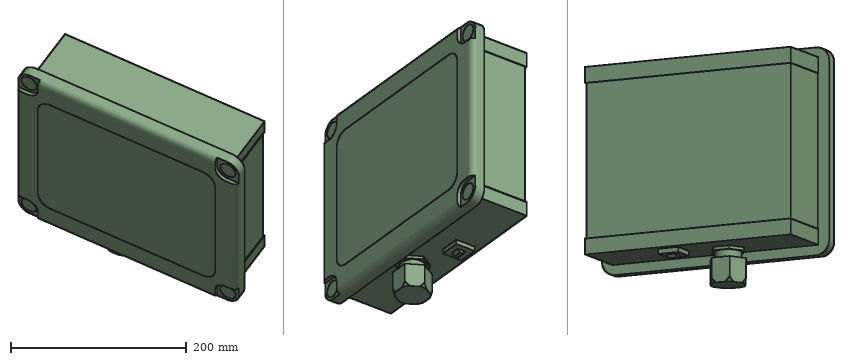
import cadquery as cq
import math


LID_WIDTH = 291
LID_HEIGHT = 241.8
LID_THICKNESS = 17.5
LID_CORNER_RADIUS = 17.0
LID_EDGE_RADIUS = 7.0

SCREW_INSET = 14.5
POCKET_RADIUS = 14.3
POCKET_DEPTH = 4.7
SCREW_RADIUS = 10.2

PANEL_WIDTH = 233.5
PANEL_HEIGHT = 181.0
PANEL_CORNER_RADIUS = 17.0
FACE_RECESS = 0.15

BOX_WIDTH = 263.0
BOX_HEIGHT = 218.2
BOX_BACK = 87.5
BAND_HEIGHT = 18.5
WAIST_BACK_STEP = 2.0
WAIST_SIDE_STEP = 1.0

GLAND_X = -29.5
GLAND_Y = 43.6
GLAND_TURN = 1
FLANGE_FLATS = 35
FLANGE_HEIGHT = 3.8
NECK_DIAMETER = 31.0
NUT_FLATS = 39.3
NUT_TOP_DROP = 12.8
OVERALL_HEIGHT = 272.0
NUT_CHAMFER_RISE = 5.8
NUT_END_DIAMETER = 41.0

FOOT_X = -GLAND_X
FOOT_Y = 66.0
FOOT_SIZE = 26.0
FOOT_HEIGHT = 5.8
RIDGE_TOP_LENGTH = 11.0
RIDGE_END_LENGTH = 5.0
RIDGE_HEIGHT = 3.8
RIDGE_WIDTH = 11.0

BOX_DEPTH = BOX_BACK - LID_THICKNESS
BOX_BOTTOM = -BOX_HEIGHT / 2
NUT_BOTTOM = LID_HEIGHT / 2 - OVERALL_HEIGHT


def block(width, height, y_front, depth):
    """Box centred on X and Z, running back from y_front."""
    return cq.Workplane("XY").box(width, depth, height).translate((0, y_front + depth / 2, 0))


def corner_points():
    """Screw centres as (x, z)."""
    x = LID_WIDTH / 2 - SCREW_INSET
    z = LID_HEIGHT / 2 - SCREW_INSET
    return [(sx * x, sz * z) for sx in (-1, 1) for sz in (-1, 1)]


def disc(x, z, radius, y_front, depth):
    return cq.Workplane("XZ", origin=(x, y_front, z)).circle(radius).extrude(-depth)


def corner_pocket(x, z):
    """Pocket around a screw, open to both lid sides at its corner."""
    reach = 2 * SCREW_INSET
    x_arm = block(reach, 2 * POCKET_RADIUS, 0, POCKET_DEPTH)
    z_arm = block(2 * POCKET_RADIUS, reach, 0, POCKET_DEPTH)
    x_arm = x_arm.translate((x + math.copysign(reach / 2, x), 0, z))
    z_arm = z_arm.translate((x, 0, z + math.copysign(reach / 2, z)))
    return disc(x, z, POCKET_RADIUS, 0, POCKET_DEPTH).union(x_arm).union(z_arm)


def make_lid():
    slab = block(LID_WIDTH, LID_HEIGHT, 0, LID_THICKNESS).faces("<Y").edges().fillet(LID_EDGE_RADIUS)
    outline = block(LID_WIDTH, LID_HEIGHT, 0, LID_THICKNESS).edges("|Y").fillet(LID_CORNER_RADIUS)
    lid = slab.intersect(outline)
    for x, z in corner_points():
        lid = lid.cut(corner_pocket(x, z))
        lid = lid.cut(disc(x, z, SCREW_RADIUS, POCKET_DEPTH, FACE_RECESS))
    panel = block(PANEL_WIDTH, PANEL_HEIGHT, 0, FACE_RECESS).edges("|Y").fillet(PANEL_CORNER_RADIUS)
    return lid.cut(panel)


def make_box():
    waist_width = BOX_WIDTH - 2 * WAIST_SIDE_STEP
    box = block(waist_width, BOX_HEIGHT, LID_THICKNESS, BOX_DEPTH - WAIST_BACK_STEP)
    band = block(BOX_WIDTH, BAND_HEIGHT, LID_THICKNESS, BOX_DEPTH)
    band_z = (BOX_HEIGHT - BAND_HEIGHT) / 2
    for side in (-1, 1):
        box = box.union(band.translate((0, 0, side * band_z)))
    return box


def hexagon(flats, z_bottom, height):
    """Hexagonal prism at the origin with corners on the X axis."""
    across_corners = flats / math.cos(math.pi / 6)
    return cq.Workplane("XY", origin=(0, 0, z_bottom)).polygon(6, across_corners).extrude(height)


def make_nut():
    height = BOX_BOTTOM - NUT_TOP_DROP - NUT_BOTTOM
    corner_radius = NUT_FLATS / 2 / math.cos(math.pi / 6)
    envelope = (
        cq.Workplane("XZ")
        .moveTo(0, NUT_BOTTOM)
        .lineTo(NUT_END_DIAMETER / 2, NUT_BOTTOM)
        .lineTo(corner_radius, NUT_BOTTOM + NUT_CHAMFER_RISE)
        .lineTo(corner_radius, NUT_BOTTOM + height)
        .lineTo(0, NUT_BOTTOM + height)
        .close()
        .revolve(360, (0, 0, 0), (0, 1, 0))
    )
    return hexagon(NUT_FLATS, NUT_BOTTOM, height).intersect(envelope)


def make_gland():
    flange = hexagon(FLANGE_FLATS, BOX_BOTTOM - FLANGE_HEIGHT, FLANGE_HEIGHT)
    neck = cq.Workplane("XY", origin=(0, 0, BOX_BOTTOM)).circle(NECK_DIAMETER / 2).extrude(-NUT_TOP_DROP)
    gland = flange.union(neck).union(make_nut())
    return gland.rotate((0, 0, 0), (0, 0, 1), GLAND_TURN).translate((GLAND_X, GLAND_Y, 0))


def make_foot():
    pad_bottom = BOX_BOTTOM - FOOT_HEIGHT
    ridge_bottom = pad_bottom - RIDGE_HEIGHT
    pad = cq.Workplane("XY", origin=(0, 0, pad_bottom)).rect(FOOT_SIZE, FOOT_SIZE).extrude(FOOT_HEIGHT)
    profile = [
        (-RIDGE_TOP_LENGTH / 2, pad_bottom),
        (-RIDGE_END_LENGTH / 2, ridge_bottom),
        (RIDGE_END_LENGTH / 2, ridge_bottom),
        (RIDGE_TOP_LENGTH / 2, pad_bottom),
    ]
    ridge = cq.Workplane("YZ").polyline(profile).close().extrude(RIDGE_WIDTH / 2, both=True)
    return pad.union(ridge).translate((FOOT_X, FOOT_Y, 0))


result = make_lid().union(make_box()).union(make_gland()).union(make_foot())